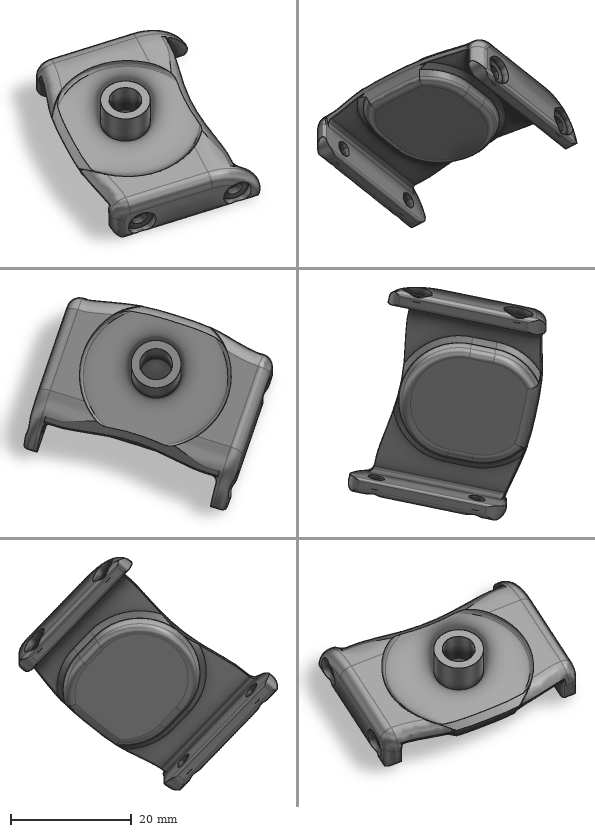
import cadquery as cq
import math

width = 35.5
half_width = width / 2
plate_top = 7.88
plate_underside = 5.68
spigot_top = 12.8

wall = 2.6
inner_half = half_width - wall
wall_front = -9.3
wall_back = 17.25
back_curve_start = 8.35
toe_height = 1.95
toe_length = 1.65
heel_height = 2.13
heel_length = 3.37

front_round = 2.95
side_round = 2.02
foot_round = 0.8
foot_inner_round = 0.43
inner_round = 1.0
inner_edge_round = 0.5

front_bulge = -11.4
front_shoulder = (7.1, -10.97)
front_flat = (14.55, -9.4)
back_edge = 13.35
back_hollow = 12.0
back_flat = (11.7, 13.3)
back_middle = (6.05, 12.5)
back_corner_round = 1.05

dish_y = 0.4
dish_radius = 12.55
dish_floor_radius = 12.0
dish_floor = 7.15
lip_height = 6.4
lip_inset = 0.43
front_bevel = 1.4
back_bevel = 1.1
undercut_lean = 0.36
bowl_bottom = 2.98
bowl_radius = 10.3
skirt_radius = 11.0
skirt_height = 0.7
skirt_angle = 55
bowl_shift = 2.05
bowl_flank_angle = 25
bowl_bottom_round = 1.6

spigot_diameter = 8.25
bore_diameter = 5.35
pivot_height = 2.55
pivot_places = (-4.22, 12.8)
pivot_diameter = 2.7
recess_diameter = 4.9
recess_depth = 1.2

clear = 21.3


def mirrored(half):
    """Points from -X to +X, given those from the middle to +X."""
    return [(-x, y) for x, y in reversed(half[1:])] + half


front_points = mirrored([(0, front_bulge), front_shoulder, front_flat, (half_width, wall_front)])
back_points = mirrored([(0, back_hollow), back_middle, back_flat, (inner_half, back_edge)])


def smooth_edge(sketch, points):
    return sketch.moveTo(*points[0]).spline(points[1:], tangents=[(1, 0), (1, 0)], includeCurrent=True)


def outside(points, far_y):
    """Closed outline between a curved plate edge and a straight line at far_y."""
    sketch = smooth_edge(cq.Workplane("XY"), points)
    return sketch.lineTo(points[-1][0], far_y).lineTo(points[0][0], far_y).close()


def leaning_prism(outline, bottom, shift_y, height):
    """Prism of an XY outline whose sides lean by shift_y over its height."""
    wire = outline.wires().val().moved(cq.Location(cq.Vector(0, 0, bottom)))
    return cq.Workplane(cq.Solid.extrudeLinear(wire, [], cq.Vector(0, shift_y, height)))


def side_profile():
    """Side outline in YZ, running far past the front and ending in the curved back."""
    curve_run = wall_back - back_curve_start
    curve_drop = plate_top - toe_height
    curve_radius = (curve_run**2 + curve_drop**2) / (2 * curve_drop)
    foot_angle = math.acos(1 - plate_top / curve_radius)

    def on_curve(angle):
        return (
            back_curve_start + curve_radius * math.sin(angle),
            plate_top - curve_radius * (1 - math.cos(angle)),
        )

    return (
        cq.Workplane("YZ")
        .moveTo(-clear, plate_top)
        .lineTo(back_curve_start, plate_top)
        .threePointArc(on_curve(foot_angle / 2), on_curve(foot_angle))
        .lineTo(-clear, 0)
        .close()
    )


def outer_block():
    block = outside(front_points, clear).extrude(plate_top)
    block = block.faces(">Z").edges("<Y").fillet(front_round)
    block = block.intersect(side_profile().extrude(half_width, both=True))
    for end in (">X", "<X"):
        block = block.faces(end).edges("not <Z").fillet(side_round)
    return block


def foot_outline():
    """Side outline in YZ that rounds the front and back ends of the feet."""
    front_radius = (heel_length**2 + heel_height**2) / (2 * heel_height)
    back_radius = (toe_length**2 + toe_height**2) / (2 * toe_height)
    front_half = math.atan2(heel_height, heel_length)
    back_half = math.atan2(toe_height, toe_length)
    heel_y = wall_front + heel_length
    toe_y = wall_back - toe_length
    return (
        cq.Workplane("YZ")
        .moveTo(-clear, clear)
        .lineTo(-clear, heel_height)
        .lineTo(wall_front, heel_height)
        .threePointArc(
            (heel_y - front_radius * math.sin(front_half), front_radius * (1 - math.cos(front_half))),
            (heel_y, 0),
        )
        .lineTo(toe_y, 0)
        .threePointArc(
            (toe_y + back_radius * math.sin(back_half), back_radius * (1 - math.cos(back_half))),
            (wall_back, toe_height),
        )
        .lineTo(clear, toe_height)
        .lineTo(clear, clear)
        .close()
        .extrude(clear, both=True)
    )


def under_pocket():
    """Space between the side walls, and the open back between their ends."""
    pocket = (
        cq.Workplane("XY")
        .box(2 * inner_half, 4 * clear, plate_underside, centered=(True, True, False))
        .edges("|Y and >Z")
        .fillet(inner_round)
    )
    opening = outside(back_points, 2 * clear).extrude(plate_top)
    opening = opening.edges(cq.selectors.BoxSelector(
        (-half_width, back_edge - 0.35, 0), (half_width, back_edge + 0.35, plate_top)
    )).edges("|Z").fillet(back_corner_round)
    return pocket.union(opening)


def foot_section():
    """Upright bars along Y, one for each side wall, with rounded feet below."""
    bars = cq.Workplane("XY")
    for side in (1, -1):
        middle = side * (half_width - wall / 2)
        bar = cq.Workplane("XY").box(wall, 4 * clear, plate_top, centered=(True, True, False))
        outer, inner = (">X", "<X") if side > 0 else ("<X", ">X")
        bar = bar.faces("<Z").edges(outer).fillet(foot_round)
        bar = bar.faces("<Z").edges(inner).fillet(foot_inner_round)
        bars = bars.union(bar.translate((middle, 0, 0)))
    between = cq.Workplane("XY").box(2 * inner_half, 4 * clear, plate_top, centered=(True, True, False))
    return bars.union(between)


def rounded_rim(body):
    """Round the front inner edges of the walls, together with the plate edge that joins them."""
    near = 0.05
    rim = cq.selectors.BoxSelector(
        (inner_half - near, -clear, heel_height + near),
        (inner_half + near, wall_front + near, plate_underside),
    )
    return body.edges(rim).fillet(inner_edge_round)


def bowl_outline(radius):
    """Slot shape, long in Y, at the level of the underside of the plate."""
    level = cq.Workplane("XY").workplane(offset=plate_underside)
    return level.slot2D(2 * (radius + bowl_shift), 2 * radius, 90)


def bowl():
    """Solid under the dish, cut by the leaning front lip and by the hollow back edge."""
    root = bowl_outline(bowl_radius).extrude(lip_height - plate_underside)
    skirt = bowl_outline(skirt_radius).extrude(-skirt_height, taper=skirt_angle)
    body = (
        bowl_outline(bowl_radius)
        .extrude(bowl_bottom - plate_underside, taper=bowl_flank_angle)
        .union(skirt)
        .union(root)
        .cut(outside(back_points, clear).extrude(plate_top))
        .cut(lip_undercut())
    )
    return body.faces("<Z").edges().fillet(bowl_bottom_round)


def dish():
    """Cutter for the shallow dish, with a hollow round wall."""
    depth = plate_top - dish_floor
    rim = dish_radius - dish_floor_radius
    profile = (
        cq.Workplane("XZ")
        .moveTo(0, dish_floor)
        .lineTo(dish_floor_radius, dish_floor)
        .threePointArc(
            (dish_floor_radius + rim * math.sin(math.pi / 4),
             plate_top - depth * math.cos(math.pi / 4)),
            (dish_radius, plate_top),
        )
        .lineTo(0, plate_top)
        .close()
    )
    return profile.revolve(360, (0, 0, 0), (0, 1, 0)).translate((0, dish_y, 0))


def dish_bevels():
    """Cutters that slope the dish floor down to the front lip and to the back edge."""
    drop = dish_floor - lip_height
    front_lip = outside(front_points, -clear).translate((0, lip_inset, 0))
    zone = cq.Workplane("XY").circle(dish_radius).extrude(plate_top).translate((0, dish_y, 0))
    front = leaning_prism(front_lip, lip_height, 2 * front_bevel, 2 * drop).intersect(zone)
    back = leaning_prism(outside(back_points, clear), lip_height, -2 * back_bevel, 2 * drop)
    return front.union(back)


def lip_undercut():
    """Cutter that leans the lower front edge back under the plate and the bowl."""
    front_lip = outside(front_points, -clear).translate((0, lip_inset, 0))
    lean = leaning_prism(front_lip, lip_height, undercut_lean * lip_height, -lip_height)
    between_walls = cq.Workplane("XY").box(2 * inner_half, 4 * clear, 4 * clear)
    return lean.intersect(between_walls)


def spigot():
    tube = cq.Workplane("XY").workplane(offset=dish_floor)
    return tube.circle(spigot_diameter / 2).circle(bore_diameter / 2).extrude(spigot_top - dish_floor)


def pivot_holes():
    """Cutters for the pivot holes through both side walls and their outer recesses."""
    centres = [(y, pivot_height) for y in pivot_places]
    holes = cq.Workplane("YZ").pushPoints(centres).circle(pivot_diameter / 2).extrude(clear, both=True)
    for side in (1, -1):
        floor = cq.Workplane("YZ", origin=(side * (half_width - recess_depth), 0, 0))
        recess = floor.pushPoints(centres).circle(recess_diameter / 2).extrude(side * clear)
        holes = holes.union(recess)
    return holes


shell = rounded_rim(outer_block().intersect(foot_outline()).cut(under_pocket()))
shell = shell.intersect(foot_section())
cradle = shell.cut(pivot_holes()).cut(lip_undercut()).union(bowl()).cut(dish()).cut(dish_bevels())
result = cradle.union(spigot())